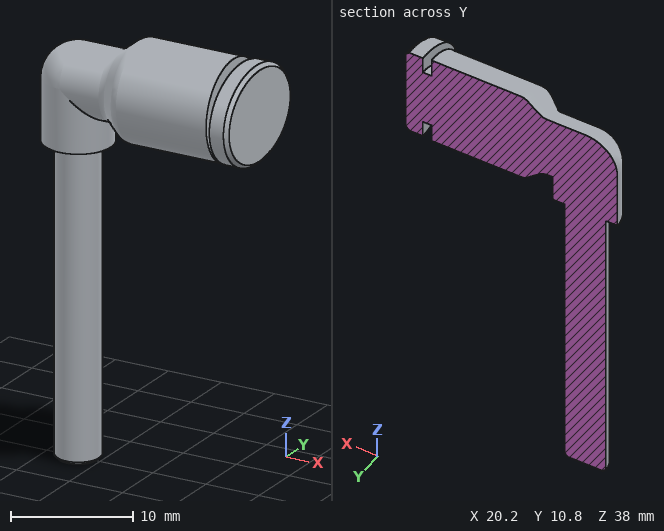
import cadquery as cq

overall_height = 38.0
overall_length = 20.2

elbow_diameter = 6.2
collar_length = 5.6
tube_diameter = 4.0
tube_chamfer = 0.3

flare_start = 4.03
flare_end = 5.78
flare_blend_radius = 1.0
body_diameter = 9.0
body_end = 14.63

button_neck_diameter = 5.55
button_width = 10.8
button_height = 8.7
button_thickness = 1.67
button_chamfer = 0.35

elbow_radius = elbow_diameter / 2
body_radius = body_diameter / 2
button_neck_radius = button_neck_diameter / 2
tube_length = overall_height - body_radius
button_start = overall_length - elbow_radius - button_thickness


def make_stem():
    """Ball corner, collar and thin tube with a chamfered tip."""
    ball = cq.Workplane("XY").sphere(elbow_radius)
    collar = cq.Workplane("XY").circle(elbow_radius).extrude(-collar_length)
    tube = (
        cq.Workplane("XY")
        .circle(tube_diameter / 2)
        .extrude(-tube_length)
        .faces("<Z")
        .chamfer(tube_chamfer)
    )
    return ball.union(collar).union(tube)


def make_socket():
    """Neck, conical flare, body and button neck, turned about the X axis."""
    profile = (
        cq.Workplane("XY")
        .lineTo(0, elbow_radius)
        .lineTo(flare_start, elbow_radius)
        .lineTo(flare_end, body_radius)
        .lineTo(body_end, body_radius)
        .lineTo(body_end, button_neck_radius)
        .lineTo(button_start, button_neck_radius)
        .lineTo(button_start, 0)
        .close()
    )
    socket = profile.revolve(360, (0, 0, 0), (1, 0, 0))
    for rim_x in (flare_start, flare_end):
        rim = cq.selectors.NearestToPointSelector((rim_x, 0, 0))
        socket = socket.edges("%CIRCLE").edges(rim).fillet(flare_blend_radius)
    return socket


def make_button():
    """Oval release button, chamfered around its outer face."""
    return (
        cq.Workplane("YZ", origin=(button_start, 0, 0))
        .ellipse(button_width / 2, button_height / 2)
        .extrude(button_thickness)
        .faces(">X")
        .chamfer(button_chamfer)
    )


result = make_stem().union(make_socket()).union(make_button())